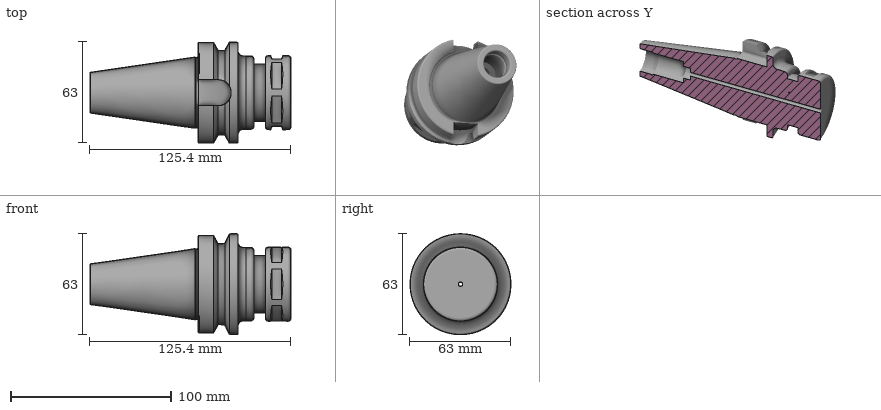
import cadquery as cq
import math


TAPER_LENGTH = 65.4
NOSE_LENGTH = 60.0
REAR_X = -TAPER_LENGTH

GAUGE_RADIUS = 22.225
TAPER_SLOPE = 7 / 48
REAR_RADIUS = GAUGE_RADIUS - TAPER_SLOPE * TAPER_LENGTH
REAR_ROUND = 0.8

RELIEF_RADIUS = 21.9
RELIEF_RAMP_LENGTH = 0.75
RELIEF_FILLET_X = 1.0
RELIEF_FILLET = 1.4
RELIEF_FACE_X = RELIEF_FILLET_X + RELIEF_FILLET
RELIEF_FACE_RADIUS = RELIEF_RADIUS + RELIEF_FILLET
RELIEF_RIM_RADIUS = 23.9

FLANGE_RADIUS = 31.5
FLANGE_FRONT_X = 2.0
FLANGE_BACK_X = 27.0
FLANGE_ROUND = 1.0
GROOVE_CENTER_X = 16.6
GROOVE_RADIUS = 26.5
GROOVE_FLOOR_HALF = 2.1
GROOVE_FLANK_ANGLE = 60
GROOVE_MOUTH_HALF = GROOVE_FLOOR_HALF + (FLANGE_RADIUS - GROOVE_RADIUS) / math.tan(
    math.radians(GROOVE_FLANK_ANGLE)
)

COLLAR_RADIUS = 23.0
COLLAR_STEP = 0.1
COLLAR_STEP_X = 31.8
COLLAR_END_X = 37.0
COLLAR_FILLET = 3.0
COLLAR_ROUND = 2.2
NECK_RADIUS = 18.0

NUT_RADIUS = 23.15
NUT_START_X = 44.0
NUT_ROUND = 2.0
POCKET_COUNT = 6
POCKET_FLOOR_DISTANCE = 21.05
POCKET_CENTER_X = 51.1
POCKET_FLOOR_LENGTH = 6.0
POCKET_MOUTH_LENGTH = 7.6

SLOT_WIDTH = 16.2
SLOT_FLOOR_Z = 22.6
SLOT_END_X = 22.7

PILOT_RADIUS = 8.5
PILOT_ROUND = 1.0
PILOT_DEPTH = 6.6
UNDERCUT_RAMP_LENGTH = 0.8
UNDERCUT_RADIUS = 8.75
UNDERCUT_DEPTH = 8.7
THREAD_RADIUS = 8.0
THREAD_DEPTH = 30.0
TIP_RADIUS = 4.4
TIP_DEPTH = 35.0
COOLANT_RADIUS = 1.25


def turned(profile):
    """Solid of revolution about X of a closed (x, radius) profile."""
    return profile.close().revolve(360, (0, 0, 0), (1, 0, 0))


def taper_and_flange():
    """Taper, relief groove and flange, with rounded outer rims."""
    groove_mouth_start = GROOVE_CENTER_X - GROOVE_MOUTH_HALF
    groove_mouth_end = GROOVE_CENTER_X + GROOVE_MOUTH_HALF
    rim_radius = FLANGE_RADIUS - FLANGE_ROUND
    profile = (
        cq.Workplane("XY")
        .moveTo(REAR_X, 0)
        .lineTo(REAR_X, REAR_RADIUS - REAR_ROUND)
        .radiusArc((REAR_X + REAR_ROUND, REAR_RADIUS + TAPER_SLOPE * REAR_ROUND), REAR_ROUND)
        .lineTo(0, GAUGE_RADIUS)
        .lineTo(RELIEF_RAMP_LENGTH, RELIEF_RADIUS)
        .lineTo(RELIEF_FILLET_X, RELIEF_RADIUS)
        .radiusArc((RELIEF_FACE_X, RELIEF_FACE_RADIUS), -RELIEF_FILLET)
        .lineTo(FLANGE_FRONT_X, RELIEF_RIM_RADIUS)
        .lineTo(FLANGE_FRONT_X, rim_radius)
        .radiusArc((FLANGE_FRONT_X + FLANGE_ROUND, FLANGE_RADIUS), FLANGE_ROUND)
        .lineTo(groove_mouth_start, FLANGE_RADIUS)
        .lineTo(GROOVE_CENTER_X - GROOVE_FLOOR_HALF, GROOVE_RADIUS)
        .lineTo(GROOVE_CENTER_X + GROOVE_FLOOR_HALF, GROOVE_RADIUS)
        .lineTo(groove_mouth_end, FLANGE_RADIUS)
        .lineTo(FLANGE_BACK_X - FLANGE_ROUND, FLANGE_RADIUS)
        .radiusArc((FLANGE_BACK_X, rim_radius), FLANGE_ROUND)
        .lineTo(FLANGE_BACK_X, 0)
    )
    return turned(profile)


def collar_and_neck():
    """Collar filleted into the flange back, followed by the plain neck."""
    end_radius = COLLAR_RADIUS - COLLAR_STEP
    profile = (
        cq.Workplane("XY")
        .moveTo(FLANGE_BACK_X, 0)
        .lineTo(FLANGE_BACK_X, COLLAR_RADIUS + COLLAR_FILLET)
        .radiusArc((FLANGE_BACK_X + COLLAR_FILLET, COLLAR_RADIUS), -COLLAR_FILLET)
        .lineTo(COLLAR_STEP_X, COLLAR_RADIUS)
        .lineTo(COLLAR_STEP_X, end_radius)
        .lineTo(COLLAR_END_X - COLLAR_ROUND, end_radius)
        .radiusArc((COLLAR_END_X, end_radius - COLLAR_ROUND), COLLAR_ROUND)
        .lineTo(COLLAR_END_X, NECK_RADIUS)
        .lineTo(NUT_START_X, NECK_RADIUS)
        .lineTo(NUT_START_X, 0)
    )
    return turned(profile)


def wrench_pocket():
    """Cutter for the pocket facing -Y: a flat floor with two sloped end walls."""
    mouth_half = POCKET_MOUTH_LENGTH / 2
    floor_half = POCKET_FLOOR_LENGTH / 2
    return (
        cq.Workplane("XY")
        .moveTo(POCKET_CENTER_X - mouth_half, -NUT_RADIUS)
        .lineTo(POCKET_CENTER_X - floor_half, -POCKET_FLOOR_DISTANCE)
        .lineTo(POCKET_CENTER_X + floor_half, -POCKET_FLOOR_DISTANCE)
        .lineTo(POCKET_CENTER_X + mouth_half, -NUT_RADIUS)
        .close()
        .extrude(NUT_RADIUS, both=True)
    )


def nut():
    """Rounded nut with wrench pockets evenly spaced around the axis."""
    profile = (
        cq.Workplane("XY")
        .moveTo(NUT_START_X, 0)
        .lineTo(NUT_START_X, NUT_RADIUS - NUT_ROUND)
        .radiusArc((NUT_START_X + NUT_ROUND, NUT_RADIUS), NUT_ROUND)
        .lineTo(NOSE_LENGTH - NUT_ROUND, NUT_RADIUS)
        .radiusArc((NOSE_LENGTH, NUT_RADIUS - NUT_ROUND), NUT_ROUND)
        .lineTo(NOSE_LENGTH, 0)
    )
    body = turned(profile)
    for index in range(POCKET_COUNT):
        angle = index * 360 / POCKET_COUNT
        body = body.cut(wrench_pocket().rotate((0, 0, 0), (1, 0, 0), angle))
    return body


def drive_slot(side):
    """Cutter for the round-ended slot on the +Z (side = 1) or -Z (side = -1) flank."""
    half_width = SLOT_WIDTH / 2
    arc_start_x = SLOT_END_X - half_width
    return (
        cq.Workplane("XY", origin=(0, 0, side * SLOT_FLOOR_Z))
        .moveTo(0, -half_width)
        .lineTo(arc_start_x, -half_width)
        .threePointArc((SLOT_END_X, 0), (arc_start_x, half_width))
        .lineTo(0, half_width)
        .close()
        .extrude(side * FLANGE_RADIUS)
    )


def stud_bore():
    """Cutter for the pull-stud bore and the coolant hole through the whole part."""
    pilot_end_x = REAR_X + PILOT_DEPTH
    undercut_start_x = pilot_end_x + UNDERCUT_RAMP_LENGTH
    undercut_end_x = REAR_X + UNDERCUT_DEPTH
    thread_start_x = undercut_end_x + UNDERCUT_RADIUS - THREAD_RADIUS
    thread_end_x = REAR_X + THREAD_DEPTH
    tip_end_x = REAR_X + TIP_DEPTH
    profile = (
        cq.Workplane("XY")
        .moveTo(REAR_X, 0)
        .lineTo(REAR_X, PILOT_RADIUS + PILOT_ROUND)
        .radiusArc((REAR_X + PILOT_ROUND, PILOT_RADIUS), -PILOT_ROUND)
        .lineTo(pilot_end_x, PILOT_RADIUS)
        .lineTo(undercut_start_x, UNDERCUT_RADIUS)
        .lineTo(undercut_end_x, UNDERCUT_RADIUS)
        .lineTo(thread_start_x, THREAD_RADIUS)
        .lineTo(thread_end_x, THREAD_RADIUS)
        .lineTo(thread_end_x, TIP_RADIUS)
        .lineTo(tip_end_x, TIP_RADIUS)
        .lineTo(tip_end_x, COOLANT_RADIUS)
        .lineTo(NOSE_LENGTH, COOLANT_RADIUS)
        .lineTo(NOSE_LENGTH, 0)
    )
    return turned(profile)


holder = taper_and_flange().union(collar_and_neck()).union(nut())
for slot_side in (1, -1):
    holder = holder.cut(drive_slot(slot_side))
result = holder.cut(stud_bore())